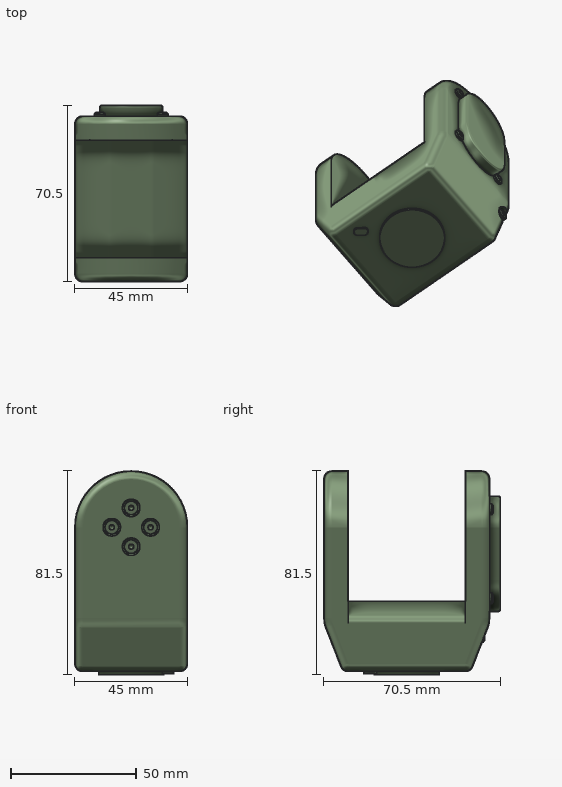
import cadquery as cq
import math

body_width = 45.0
body_depth = 66.2
total_height = 81.5
arm_gap = 46.95
edge_radius = 3.3
arm_radius = body_width / 2
arm_center_z = total_height - arm_radius

foot_diameter = 26.0
foot_height = 1.4
tab_width = 3.0
tab_length = 5.7
tab_height = 0.9
tab_x = 14.7
tab_y = -14.5
tab_angle = -55.0

slope_top_z = 20.8
base_flat_depth = 51.0
bend_radius = 10.0

floor_top_z = 29.5
floor_flat_width = 17.1
floor_slope_angle = 25.0
gap_bottom_z = slope_top_z - edge_radius

recess_diameter = 33.0
recess_depth = 1.0

screw_count = 4
screw_circle_radius = 7.75
countersink_diameter = 7.0
screw_head_diameter = 5.5
countersink_depth = 0.6
socket_diameter = 2.0
socket_depth = 0.3
socket_tip_depth = 0.6

cover_width = 25.1
cover_height = 46.1
cover_thickness = 4.3
cover_center_z = 48.4
cover_edge = 0.9
cover_screw_x = 12.55
cover_screw_dz = 17.8

raised_head_diameter = 4.4
raised_head_height = 1.5
raised_head_chamfer = 0.65
raised_head_chamfer_width = 0.8
corner_screw_x = -19.8
corner_screw_z = 15.3
corner_screw_seat_y = 28.5
corner_screw_height = 2.6
corner_pocket_diameter = 5.6


def make_body():
    outline = (
        cq.Workplane("XZ")
        .moveTo(-arm_radius, foot_height)
        .lineTo(-arm_radius, arm_center_z)
        .threePointArc((0, total_height), (arm_radius, arm_center_z))
        .lineTo(arm_radius, foot_height)
        .close()
        .extrude(body_depth / 2, both=True)
    )
    half_depth = body_depth / 2
    half_base = base_flat_depth / 2
    side_profile = (
        cq.Workplane("YZ")
        .polyline([
            (-half_base, foot_height),
            (half_base, foot_height),
            (half_depth, slope_top_z),
            (half_depth, total_height),
            (-half_depth, total_height),
            (-half_depth, slope_top_z),
        ])
        .close()
        .extrude(arm_radius, both=True)
    )
    bend_edges = cq.selectors.BoxSelector(
        (-body_width, -body_depth, slope_top_z - edge_radius),
        (body_width, body_depth, slope_top_z + edge_radius),
    )
    body = outline.intersect(side_profile)
    body = body.edges("|X").edges(bend_edges).fillet(bend_radius)
    rim = body.edges("not(|X or |Y)").add(body.faces("<Z").edges())
    return rim.fillet(edge_radius)


def make_gap():
    return (
        cq.Workplane("XY", origin=(0, 0, gap_bottom_z))
        .rect(body_width, arm_gap)
        .extrude(total_height - gap_bottom_z)
    )


def make_floor():
    half_flat = floor_flat_width / 2
    drop = (arm_radius - half_flat) * math.tan(math.radians(floor_slope_angle))
    floor_side_z = floor_top_z - drop
    ridge = (
        cq.Workplane("XZ")
        .polyline([
            (-arm_radius, gap_bottom_z),
            (-arm_radius, floor_side_z),
            (-half_flat, floor_top_z),
            (half_flat, floor_top_z),
            (arm_radius, floor_side_z),
            (arm_radius, gap_bottom_z),
        ])
        .close()
        .extrude(arm_gap / 2, both=True)
    )
    return ridge.edges("|Y").edges("not <Z").fillet(edge_radius)


def make_inner_recess():
    return (
        cq.Workplane("XZ", origin=(0, arm_gap / 2, arm_center_z))
        .circle(recess_diameter / 2)
        .extrude(-recess_depth)
    )


def make_screw_recess(x, z):
    inward = cq.Vector(0, 1, 0)
    countersink = cq.Solid.makeCone(
        countersink_diameter / 2, screw_head_diameter / 2, countersink_depth,
        pnt=cq.Vector(x, -body_depth / 2, z), dir=inward,
    )
    socket_y = countersink_depth - body_depth / 2
    socket = cq.Solid.makeCylinder(
        socket_diameter / 2, socket_depth,
        pnt=cq.Vector(x, socket_y, z), dir=inward,
    )
    socket_tip = cq.Solid.makeCone(
        socket_diameter / 2, 0, socket_tip_depth,
        pnt=cq.Vector(x, socket_y + socket_depth, z), dir=inward,
    )
    return cq.Workplane(obj=countersink.fuse(socket, socket_tip))


def make_cover():
    return (
        cq.Workplane("XZ", origin=(0, body_depth / 2, cover_center_z))
        .slot2D(cover_height, cover_width, 90)
        .extrude(-cover_thickness)
        .faces(">Y")
        .edges()
        .fillet(cover_edge)
    )


def make_raised_screw(x, seat_y, z, height):
    return (
        cq.Workplane("XZ", origin=(x, seat_y, z))
        .circle(raised_head_diameter / 2)
        .extrude(-height)
        .faces(">Y")
        .chamfer(raised_head_chamfer, raised_head_chamfer_width)
    )


def make_corner_pocket():
    return (
        cq.Workplane("XZ", origin=(corner_screw_x, corner_screw_seat_y, corner_screw_z))
        .circle(corner_pocket_diameter / 2)
        .extrude(-body_depth / 2)
    )


def make_foot():
    disc = cq.Workplane("XY").circle(foot_diameter / 2).extrude(foot_height)
    tab = (
        cq.Workplane("XY", origin=(tab_x, tab_y, foot_height - tab_height))
        .slot2D(tab_length, tab_width, tab_angle)
        .extrude(tab_height)
    )
    return disc.union(tab)


result = make_body().cut(make_gap()).union(make_floor()).cut(make_inner_recess())
for position in range(screw_count):
    angle = position * math.tau / screw_count
    screw_x = screw_circle_radius * math.cos(angle)
    screw_z = arm_center_z + screw_circle_radius * math.sin(angle)
    result = result.cut(make_screw_recess(screw_x, screw_z))

result = result.union(make_cover())
for side in (-1, 1):
    for end in (-1, 1):
        screw = make_raised_screw(
            side * cover_screw_x,
            body_depth / 2,
            cover_center_z + end * cover_screw_dz,
            raised_head_height,
        )
        result = result.union(screw)

corner_screw = make_raised_screw(
    corner_screw_x, corner_screw_seat_y, corner_screw_z, corner_screw_height
)
result = result.cut(make_corner_pocket()).union(corner_screw).union(make_foot()).clean()